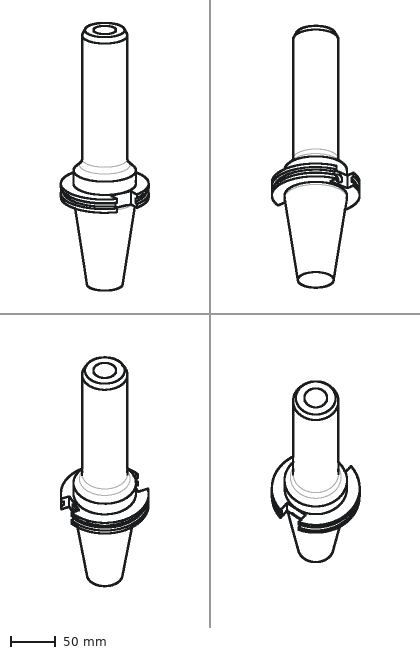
import cadquery as cq
import math


gauge_radius = 69.85 / 2
taper_length = 101.6
taper_per_length = 7 / 24
tail_radius = gauge_radius - taper_length * taper_per_length / 2

flange_radius = 98.425 / 2
flange_bottom = 3.175
flange_thickness = 15.875
flange_top = flange_bottom + flange_thickness
flange_middle = flange_bottom + flange_thickness / 2

groove_mouth_width = 7.1
groove_depth = 3.0
groove_wall_angle = 30.0
groove_floor_width = groove_mouth_width - 2 * groove_depth * math.tan(math.radians(groove_wall_angle))

collar_radius = gauge_radius
collar_top = 34.925
nose_radius = 25.4
nose_top = 203.2
shoulder_angle = 45.0
shoulder_fillet_radius = 10.0
nose_chamfer_width = 3.175
nose_chamfer_height = 6.35

bore_diameter = 25.4
bore_depth = 2 * bore_diameter

slot_width = 25.92
deep_slot_floor = 35.3
shallow_slot_floor = 37.8
locating_hole_diameter = 9.525
locating_hole_depth = 5.5


def make_body():
    """Revolve the outer outline of taper, flange, collar and nose."""
    angle = math.radians(shoulder_angle)
    cone_tip = collar_top + (collar_radius - nose_radius) * math.tan(angle)
    fillet_tangent = shoulder_fillet_radius * math.tan(angle / 2)
    fillet_top = cone_tip + fillet_tangent
    arc_center_radius = nose_radius + shoulder_fillet_radius

    def fillet_point(turn):
        return (
            arc_center_radius - shoulder_fillet_radius * math.cos(turn),
            fillet_top - shoulder_fillet_radius * math.sin(turn),
        )

    outline = (
        cq.Workplane("XZ")
        .moveTo(0, -taper_length)
        .lineTo(tail_radius, -taper_length)
        .lineTo(gauge_radius, 0)
        .lineTo(gauge_radius, flange_bottom)
        .lineTo(flange_radius, flange_bottom)
        .lineTo(flange_radius, flange_top)
        .lineTo(collar_radius, flange_top)
        .lineTo(collar_radius, collar_top)
        .lineTo(*fillet_point(angle))
        .threePointArc(fillet_point(angle / 2), fillet_point(0))
        .lineTo(nose_radius, nose_top - nose_chamfer_height)
        .lineTo(nose_radius - nose_chamfer_width, nose_top)
        .lineTo(0, nose_top)
        .close()
    )
    return outline.revolve(360, (0, 0, 0), (0, 1, 0))


def make_groove():
    """Ring with a trapezoidal section that cuts the flange groove."""
    floor_radius = flange_radius - groove_depth
    section = cq.Workplane("XZ").polyline([
        (flange_radius, flange_middle - groove_mouth_width / 2),
        (flange_radius, flange_middle + groove_mouth_width / 2),
        (floor_radius, flange_middle + groove_floor_width / 2),
        (floor_radius, flange_middle - groove_floor_width / 2),
    ]).close()
    return section.revolve(360, (0, 0, 0), (0, 1, 0))


def make_slot(side, floor):
    """Block that cuts a drive slot through the flange on the +X (1) or -X (-1) side."""
    middle = side * (floor + flange_radius) / 2
    return (
        cq.Workplane("XY", origin=(middle, 0, flange_bottom))
        .rect(flange_radius - floor, slot_width)
        .extrude(flange_thickness)
    )


def make_bore():
    """Blind bore down from the nose face."""
    return cq.Workplane("XY", origin=(0, 0, nose_top)).circle(bore_diameter / 2).extrude(-bore_depth)


def make_locating_hole():
    """Blind hole running inward from the floor of the -X slot."""
    return (
        cq.Workplane("YZ", origin=(-shallow_slot_floor, 0, flange_middle))
        .circle(locating_hole_diameter / 2)
        .extrude(locating_hole_depth)
    )


result = (
    make_body()
    .cut(make_groove())
    .cut(make_slot(1, deep_slot_floor))
    .cut(make_slot(-1, shallow_slot_floor))
    .cut(make_bore())
    .cut(make_locating_hole())
)